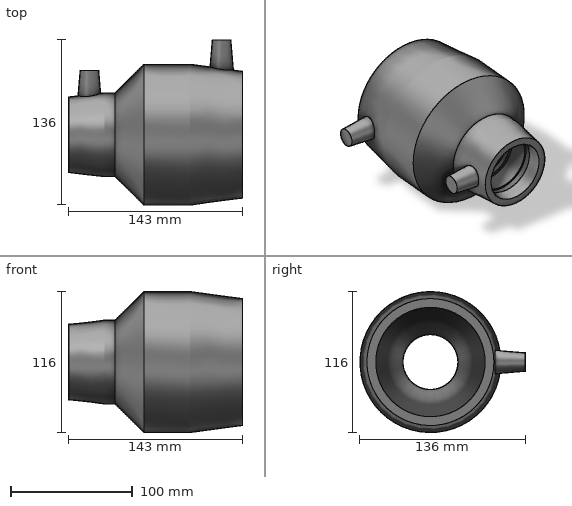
import cadquery as cq


length = 143.0
small_taper_end = 29.5
neck_end = 38.2
shoulder_end = 61.9
large_taper_start = 100.1

small_mouth_diameter = 62.2
neck_diameter = 69.0
body_diameter = 116.0
large_mouth_diameter = 104.4

small_socket_diameter = 50.0
through_bore_diameter = 45.0
large_socket_diameter = 90.0
small_socket_depth = 35.8
bore_end = 40.0
bore_flare_end = shoulder_end

groove_start = 12.9
groove_end = 19.2
groove_depth = 1.3
groove_diameter = small_socket_diameter + 2 * groove_depth

post_tip_diameter = 15.3
post_taper_per_length = 0.17
small_post_x = 17.0
small_post_tip_y = 53.0
large_post_x = 125.7
large_post_tip_y = body_diameter / 2 + 20.0
post_embed = 4.3


def revolve_about_x(stations):
    """Solid of revolution through (x, diameter) stations, closed on the X axis."""
    first_x = stations[0][0]
    last_x = stations[-1][0]
    outline = [(x, diameter / 2) for x, diameter in stations]
    return (
        cq.Workplane("XY")
        .polyline([(first_x, 0), *outline, (last_x, 0)])
        .close()
        .revolve(360, (0, 0, 0), (1, 0, 0))
    )


def terminal_post(x, tip_y, mouth_diameter):
    """Round post along +Y that narrows toward its tip."""
    root_y = mouth_diameter / 2 - post_embed
    height = tip_y - root_y
    root_diameter = post_tip_diameter + post_taper_per_length * height
    return (
        cq.Workplane("XZ", origin=(x, root_y, 0))
        .circle(root_diameter / 2)
        .workplane(offset=-height)
        .circle(post_tip_diameter / 2)
        .loft(ruled=True)
    )


shell = revolve_about_x([
    (0, small_mouth_diameter),
    (small_taper_end, neck_diameter),
    (neck_end, neck_diameter),
    (shoulder_end, body_diameter),
    (large_taper_start, body_diameter),
    (length, large_mouth_diameter),
])

cavity = revolve_about_x([
    (0, small_socket_diameter),
    (groove_start, small_socket_diameter),
    (groove_start, groove_diameter),
    (groove_end, groove_diameter),
    (groove_end, small_socket_diameter),
    (small_socket_depth, small_socket_diameter),
    (small_socket_depth, through_bore_diameter),
    (bore_end, through_bore_diameter),
    (bore_flare_end, large_socket_diameter),
    (length, large_socket_diameter),
])

small_post = terminal_post(small_post_x, small_post_tip_y, small_mouth_diameter)
large_post = terminal_post(large_post_x, large_post_tip_y, large_mouth_diameter)

result = shell.union(small_post).union(large_post).cut(cavity)